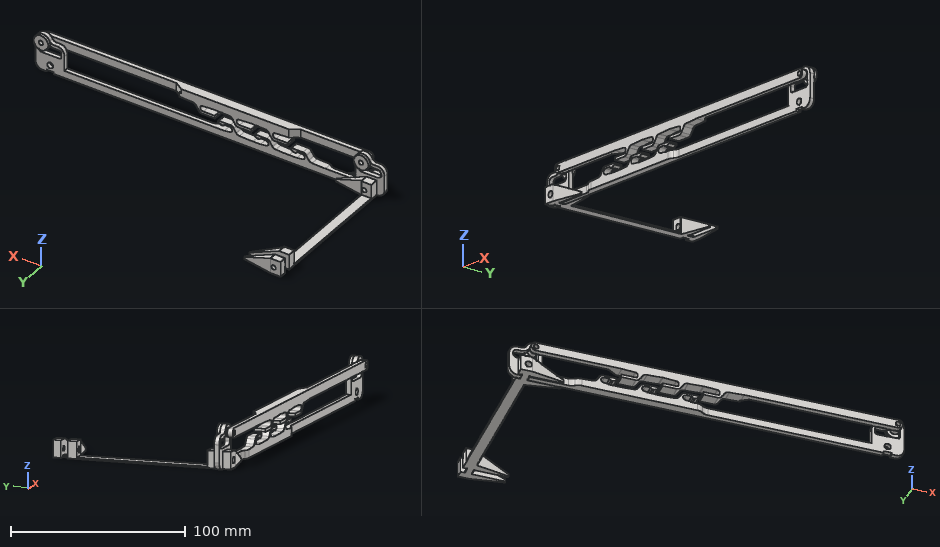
import cadquery as cq
import math


disc_diameter = 10.0
disc_thickness = 2.0
shaft_diameter = 5.3
pin_bore = 3.0
end_pitch = 220.0
pin_x = 15.0
pin_z = 20.0

frame_front = 5.3
frame_back = 8.5
beam_height = 5.0
ring_radius = disc_diameter / 2
ring_bore_radius = shaft_diameter / 2
ring_wall = ring_radius - ring_bore_radius
corner_radius = 4.8
shoulder_z = 20.2
shoulder_fillet = 3.4
window_left = 2.2
window_bottom = 12.2
window_corner = 2.2
left_window_corner = 2.6
right_window_corner = 1.5
post_right = pin_x + ring_radius
frame_length = end_pitch + post_right

pad_front = 3.0
pad_left = 35.8
pad_right = 120.5
pad_ramp = 7.2

screw_x = 9.8
screw_z = 5.0
frame_screw_diameter = 3.8
clamp_clearance_diameter = 3.8
clamp_screw_diameter = 3.0
neck_width = 4.3
notch_width = 4.8

bar_front = 1.5
bar_back = 4.8
bar_height = 5.8
bar_bottom = pin_z - bar_height / 2
bar_thick_left = 65.8
bar_thick_right = 139.7
bar_taper = 5.8

hook_count = 3
first_frame_hook = 40.8
first_bar_hook = 66.7
hook_pitch = 25.0
stem_fillet = 3.0
frame_hook_top = 10.5
frame_hook_arm = 1.5
bar_hook_bottom = 11.0
bar_hook_arm = 2.0
throat_radius = 1.8
tip_bevel = 0.5
tip_rise = 0.2
barb_width = 1.2
barb_height = 1.0
flare_length = 10.5
flare_rise = 0.5
flare_radius = (flare_length ** 2 + flare_rise ** 2) / (2 * flare_rise)

strap_left = 5.0
strap_right = 12.0
strap_width = strap_right - strap_left
strap_bottom = 0.2
strap_top = 1.2
clamp_length = 108.5
clamp_top = 10.5
outer_jaw = 4.8
inner_jaw = 5.5
jaw_gap = 4.0
finger_root = 4.8
finger_tip = 1.2
finger_tip_height = 1.5
finger_end = 32.5


def front_sketch(y):
    """Workplane facing the front, at depth y, with local axes X and Z; extrude(-d) goes to +Y."""
    return cq.Workplane("XZ", origin=(0, y, 0))


def cylinder(x, z, diameter, y_from, y_to):
    return front_sketch(y_from).center(x, z).circle(diameter / 2).extrude(y_from - y_to)


def shoulder_curve(x_offset, ring_r, flat_z):
    """End of the flat, tangent point on the ring and middle of the concave arc between them."""
    centre_z = shoulder_z + shoulder_fillet
    rise = centre_z - pin_z
    run = math.sqrt((ring_radius + shoulder_fillet) ** 2 - rise ** 2)
    centre_x = x_offset + pin_x - run
    arc_radius = centre_z - flat_z
    slope = math.atan2(rise, run)
    tangent = (x_offset + pin_x - ring_r * math.cos(slope), pin_z + ring_r * math.sin(slope))
    mid_angle = (-math.pi / 2 - slope) / 2
    middle = (centre_x + arc_radius * math.cos(mid_angle), centre_z + arc_radius * math.sin(mid_angle))
    return (centre_x, flat_z), middle, tangent


def corner_middle(centre_x, centre_z, radius, side_x, side_z):
    """Middle of a quarter arc lying to the given sides (+1 or -1) of its centre."""
    reach = radius * math.sqrt(0.5)
    return (centre_x + side_x * reach, centre_z + side_z * reach)


def add_frame_end(outline, x_offset):
    """Rounded corner, shoulder and ring top, from the end's left edge to the ring's right side."""
    r = corner_radius
    flat_end, arc_middle, on_ring = shoulder_curve(x_offset, ring_radius, shoulder_z)
    return (
        outline.lineTo(x_offset, shoulder_z - r)
        .threePointArc(corner_middle(x_offset + r, shoulder_z - r, r, -1, 1), (x_offset + r, shoulder_z))
        .lineTo(*flat_end)
        .threePointArc(arc_middle, on_ring)
        .radiusArc((x_offset + pin_x, pin_z + ring_radius), ring_radius)
        .radiusArc((x_offset + post_right, pin_z), ring_radius)
    )


def frame_outline():
    r = corner_radius
    outline = front_sketch(pad_front).moveTo(r, 0)
    outline = outline.threePointArc(corner_middle(r, r, r, -1, -1), (0, r))
    outline = add_frame_end(outline, 0)
    outline = outline.lineTo(post_right, beam_height).lineTo(end_pitch, beam_height)
    outline = add_frame_end(outline, end_pitch)
    outline = outline.lineTo(frame_length, r)
    outline = outline.threePointArc(corner_middle(frame_length - r, r, r, 1, -1), (frame_length - r, 0))
    return outline.close().extrude(pad_front - frame_back)


def end_window(x_offset, left_corner):
    """Opening that runs up into the ring, leaving a springy strip of even thickness."""
    left = x_offset + window_left
    right = x_offset + pin_x + ring_bore_radius
    top = shoulder_z - ring_wall
    c = left_corner
    k = window_corner
    flat_end, arc_middle, on_ring = shoulder_curve(x_offset, ring_bore_radius, top)
    return (
        front_sketch(pad_front)
        .moveTo(left + c, window_bottom)
        .threePointArc(corner_middle(left + c, window_bottom + c, c, -1, -1), (left, window_bottom + c))
        .lineTo(left, top - c)
        .threePointArc(corner_middle(left + c, top - c, c, -1, 1), (left + c, top))
        .lineTo(*flat_end)
        .threePointArc(arc_middle, on_ring)
        .threePointArc((x_offset + pin_x, pin_z + ring_bore_radius), (right, pin_z))
        .lineTo(right, window_bottom + k)
        .threePointArc(corner_middle(right - k, window_bottom + k, k, 1, -1), (right - k, window_bottom))
        .close()
        .extrude(pad_front - frame_back)
    )


def round_edge(hook, x, z):
    """Fillet the edge of a hook that runs along Y through (x, z)."""
    nearest = cq.selectors.NearestToPointSelector((x, frame_front, z))
    return hook.edges("|Y").edges(nearest).fillet(stem_fillet)


def frame_hook(x):
    """Hook rising from the beam; x is the left end of its flare."""
    stem_x = x + flare_length
    throat_x = x + 15.8
    arm_bottom = frame_hook_top - frame_hook_arm
    throat_z = arm_bottom - throat_radius
    flare_top = beam_height + flare_rise
    shoulder_x = x + 14.0
    tip_x = x + 23.8
    barb_left = tip_x - 3.5
    throat_flare = throat_x + 3.8
    hook = (
        front_sketch(pad_front)
        .moveTo(x, beam_height)
        .radiusArc((stem_x, flare_top), -flare_radius)
        .lineTo(shoulder_x, frame_hook_top)
        .lineTo(tip_x - tip_bevel, frame_hook_top)
        .lineTo(tip_x, frame_hook_top - tip_bevel)
        .lineTo(tip_x, arm_bottom + tip_rise)
        .lineTo(barb_left + barb_width, arm_bottom - barb_height)
        .lineTo(barb_left, arm_bottom - barb_height)
        .lineTo(barb_left - barb_height, arm_bottom)
        .lineTo(throat_x, arm_bottom)
        .threePointArc((throat_x - throat_radius, throat_z), (throat_x, throat_z - throat_radius))
        .lineTo(throat_flare, beam_height)
        .lineTo(throat_flare, beam_height / 2)
        .lineTo(x, beam_height / 2)
        .close()
        .extrude(pad_front - frame_back)
    )
    hook = round_edge(hook, stem_x, flare_top)
    return round_edge(hook, shoulder_x, frame_hook_top)


def frame_plan():
    """Frame seen from above: the thin plate with its padded stretch, reached by S-shaped ramps."""
    half_run = pad_ramp / 2
    half_rise = (frame_front - pad_front) / 2
    mid_y = frame_front - half_rise
    ramp_radius = (half_run ** 2 + half_rise ** 2) / (2 * half_rise)
    return (
        cq.Workplane("XY")
        .moveTo(0, frame_front)
        .lineTo(pad_left, frame_front)
        .radiusArc((pad_left + half_run, mid_y), ramp_radius)
        .radiusArc((pad_left + pad_ramp, pad_front), -ramp_radius)
        .lineTo(pad_right - pad_ramp, pad_front)
        .radiusArc((pad_right - half_run, mid_y), -ramp_radius)
        .radiusArc((pad_right, frame_front), ramp_radius)
        .lineTo(frame_length, frame_front)
        .lineTo(frame_length, frame_back)
        .lineTo(0, frame_back)
        .close()
        .extrude(pin_z + ring_radius)
    )


def make_frame():
    frame = frame_outline()
    for i in range(hook_count):
        frame = frame.union(frame_hook(first_frame_hook + i * hook_pitch))
    frame = frame.intersect(frame_plan())
    for x_offset, left_corner in ((0, left_window_corner), (end_pitch, right_window_corner)):
        frame = frame.cut(end_window(x_offset, left_corner))
        hole_x = x_offset + screw_x
        frame = frame.cut(cylinder(hole_x, screw_z, frame_screw_diameter, frame_front, frame_back))
        notch = cq.Workplane("XY").box(notch_width, frame_back, strap_top, centered=(True, False, False))
        frame = frame.cut(notch.translate((hole_x, 0, 0)))
    return frame


def bar_hook(x):
    """Hook hanging from the latch bar; x is the tip of its arm."""
    arm_top = bar_hook_bottom + bar_hook_arm
    throat_x = x + 8.2
    throat_z = arm_top + throat_radius
    flare_bottom = bar_bottom - flare_rise
    stem_bottom = x + 10.0
    stem_top = x + 14.0
    flare_end = stem_top + flare_length
    hook = (
        front_sketch(bar_front)
        .moveTo(x, bar_hook_bottom)
        .lineTo(stem_bottom, bar_hook_bottom)
        .lineTo(stem_top, flare_bottom)
        .radiusArc((flare_end, bar_bottom), -flare_radius)
        .lineTo(flare_end, pin_z)
        .lineTo(x, pin_z)
        .lineTo(x, bar_bottom)
        .lineTo(throat_x, throat_z + throat_radius)
        .threePointArc((throat_x + throat_radius, throat_z), (throat_x, arm_top))
        .lineTo(x, arm_top)
        .close()
        .extrude(bar_front - frame_back)
    )
    hook = round_edge(hook, stem_bottom, bar_hook_bottom)
    return round_edge(hook, stem_top, flare_bottom)


def make_bar():
    bar_centre_x = pin_x + end_pitch / 2
    bar = (
        front_sketch(bar_front)
        .center(bar_centre_x, pin_z)
        .slot2D(end_pitch + bar_height, bar_height)
        .extrude(bar_front - bar_back)
    )
    thick_stretch = (
        cq.Workplane("XY", origin=(0, 0, bar_bottom))
        .moveTo(bar_thick_left - bar_taper, bar_back)
        .lineTo(bar_thick_left, frame_back)
        .lineTo(bar_thick_right, frame_back)
        .lineTo(bar_thick_right + bar_taper, bar_back)
        .close()
        .extrude(bar_height)
    )
    bar = bar.union(thick_stretch)
    for i in range(hook_count):
        bar = bar.union(bar_hook(first_bar_hook + i * hook_pitch))
    for x_offset in (0, end_pitch):
        bar = bar.cut(cylinder(x_offset + pin_x, pin_z, pin_bore, bar_front, bar_back))
    return bar


def make_pin(x):
    shaft = cylinder(x, pin_z, shaft_diameter, bar_back, frame_back)
    disc = cylinder(x, pin_z, disc_diameter, frame_back, frame_back + disc_thickness)
    bore = cylinder(x, pin_z, pin_bore, bar_back, frame_back + disc_thickness)
    return shaft.union(disc).cut(bore)


def jaw(gap_face, thickness, away):
    """Block with a finger tapering to +X; away (+1 or -1) points from the gap face into the jaw in Y."""
    root_y = gap_face + away * finger_root
    far_y = gap_face + away * thickness
    block = (
        cq.Workplane("XY", origin=(0, 0, strap_bottom))
        .center((strap_left + strap_right) / 2, (gap_face + far_y) / 2)
        .rect(strap_width, thickness)
        .extrude(clamp_top - strap_bottom)
    )
    finger_plan = (
        cq.Workplane("XY", origin=(0, 0, strap_bottom))
        .moveTo(strap_right, gap_face)
        .lineTo(finger_end, gap_face)
        .lineTo(finger_end, gap_face + away * finger_tip)
        .lineTo(strap_right, root_y)
        .close()
        .extrude(clamp_top - strap_bottom)
    )
    finger_profile = (
        front_sketch(0)
        .moveTo(strap_right, strap_bottom)
        .lineTo(finger_end, strap_bottom)
        .lineTo(finger_end, strap_bottom + finger_tip_height)
        .lineTo(strap_right, clamp_top)
        .close()
        .extrude(-clamp_length)
    )
    return block.union(finger_plan.intersect(finger_profile))


def make_clamp():
    thickness = strap_top - strap_bottom
    neck = cq.Workplane("XY").box(neck_width, clamp_length, thickness, centered=False)
    clamp = neck.translate((screw_x - neck_width / 2, 0, strap_bottom))
    inner_start = outer_jaw + jaw_gap
    strap = cq.Workplane("XY").box(strap_width, clamp_length - 2 * inner_start, thickness, centered=False)
    clamp = clamp.union(strap.translate((strap_left, inner_start, strap_bottom)))
    for gap_face, jaw_thickness, away, hole in (
        (outer_jaw, outer_jaw, -1, clamp_clearance_diameter),
        (inner_start, inner_jaw, 1, clamp_screw_diameter),
        (clamp_length - inner_start, inner_jaw, -1, clamp_clearance_diameter),
        (clamp_length - outer_jaw, outer_jaw, 1, clamp_screw_diameter),
    ):
        far_face = gap_face + away * jaw_thickness
        drill = cylinder(screw_x, screw_z, hole, min(gap_face, far_face), max(gap_face, far_face))
        clamp = clamp.union(jaw(gap_face, jaw_thickness, away).cut(drill))
    return clamp


frame = make_frame()
bar = make_bar()
clamp = make_clamp()
pins = [make_pin(pin_x + x_offset) for x_offset in (0, end_pitch)]

result = cq.Compound.makeCompound([frame.val(), bar.val(), clamp.val(), *[pin.val() for pin in pins]])